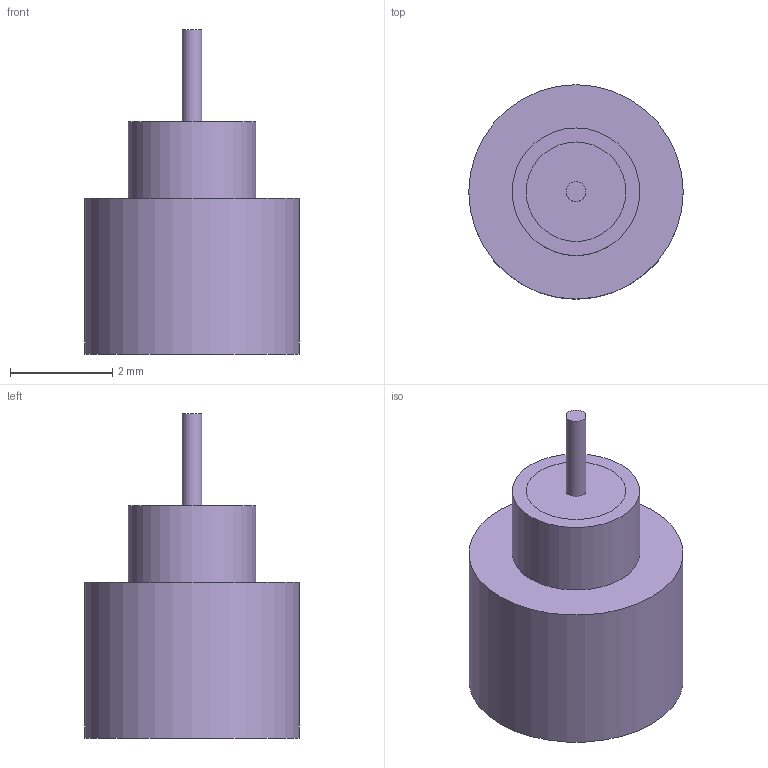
import cadquery as cq

BODY_DIAMETER = 4.2
BODY_HEIGHT = 3.05
NECK_DIAMETER = 2.5
NECK_HEIGHT = 1.5
INSULATOR_DIAMETER = 1.95
PIN_DIAMETER = 0.39
PIN_LENGTH = 1.8

NECK_BASE = BODY_HEIGHT
NECK_TOP = NECK_BASE + NECK_HEIGHT


def cylinder(diameter, base, height):
    """Upright cylinder centred on the Z axis."""
    return cq.Workplane("XY").workplane(offset=base).circle(diameter / 2).extrude(height)


def make_shell():
    """Stepped body and neck, with a bore through the neck for the insulator."""
    body = cylinder(BODY_DIAMETER, 0, BODY_HEIGHT)
    neck = cylinder(NECK_DIAMETER, NECK_BASE, NECK_HEIGHT)
    bore = cylinder(INSULATOR_DIAMETER, NECK_BASE, NECK_HEIGHT)
    return body.union(neck).cut(bore)


def make_insulator():
    """Insulator filling the neck bore, flush with the top of the neck."""
    return cylinder(INSULATOR_DIAMETER, NECK_BASE, NECK_HEIGHT)


def make_pin():
    """Centre pin standing on the insulator."""
    return cylinder(PIN_DIAMETER, NECK_TOP, PIN_LENGTH)


result = make_shell().union(make_insulator(), clean=False).union(make_pin(), clean=False)